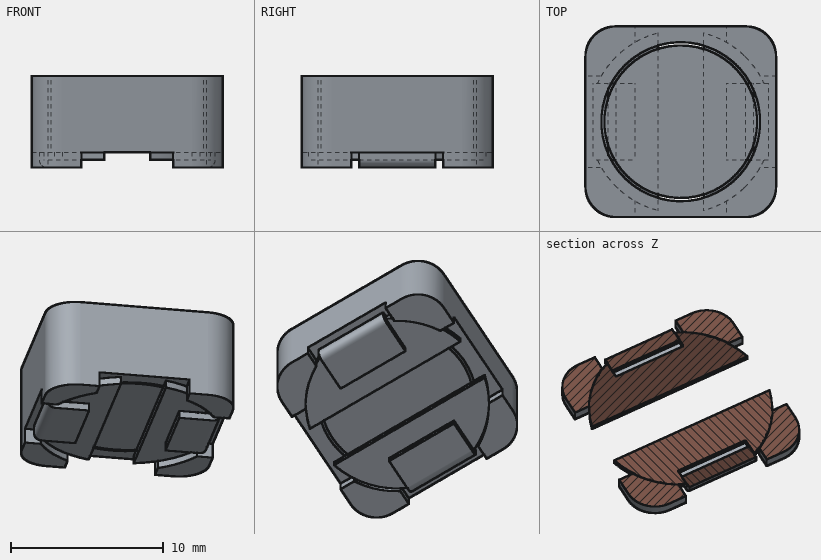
import cadquery as cq

width = 12.5
height = 6.0
corner_radius = 2.0
core_radius = 5.0
core_gap = 0.2
bore_radius = core_radius + core_gap
notch_width = 6.0
notch_height = 1.0

base_radius = 6.0
base_thickness = 0.5
base_bottom = notch_height - base_thickness
base_split = 3.0
slot_depth_x = 4.25

terminal_width = 5.0
terminal_outer = 5.75
leg_thickness = 1.0
pad_thickness = base_bottom
pad_inner = notch_width / 2
bend_radius = 0.5


def block(x_min, x_max, y_size, z_min, z_max):
    """Box centred on Y between the given X and Z limits."""
    box = cq.Workplane("XY").box(x_max - x_min, y_size, z_max - z_min, centered=(False, True, False))
    return box.translate((x_min, 0, z_min))


def make_shell():
    """Square shell with a round bore, a base recess and a notch in every side."""
    body = cq.Workplane("XY").rect(width, width).extrude(height).edges("|Z").fillet(corner_radius)
    bore = cq.Workplane("XY").circle(bore_radius).extrude(height)
    recess = cq.Workplane("XY").circle(base_radius).extrude(notch_height)
    notch = block(-width / 2, width / 2, notch_width, 0, notch_height)
    cross_notch = notch.rotate((0, 0, 0), (0, 0, 1), 90)
    return body.cut(bore).cut(recess).cut(notch).cut(cross_notch)


def make_core():
    """Round core standing on the base halves, flush with the shell top."""
    return cq.Workplane("XY").workplane(offset=notch_height).circle(core_radius).extrude(height - notch_height)


def make_base_half():
    """Segment of a disc on the +X side, slotted for its terminal."""
    disc = cq.Workplane("XY").workplane(offset=base_bottom).circle(base_radius).extrude(base_thickness)
    side = block(base_split / 2, base_radius, 2 * base_radius, base_bottom, notch_height)
    slot = block(slot_depth_x, base_radius, terminal_width, base_bottom, notch_height)
    return disc.intersect(side).cut(slot)


def make_terminal():
    """Terminal on the +X side: a pad under the base and an upright leg with a rounded foot."""
    pad = block(pad_inner, terminal_outer, terminal_width, 0, pad_thickness)
    leg = block(terminal_outer - leg_thickness, terminal_outer, terminal_width, 0, notch_height)
    return pad.union(leg).edges("|Y and >X and <Z").fillet(bend_radius)


shell = make_shell()
core = make_core()

base_halves = []
terminals = []
for side_angle in (0, 180):
    base_halves.append(make_base_half().rotate((0, 0, 0), (0, 0, 1), side_angle))
    terminals.append(make_terminal().rotate((0, 0, 0), (0, 0, 1), side_angle))

result = cq.Compound.makeCompound(
    [shell.val(), core.val()] + [body.val() for body in base_halves + terminals]
)